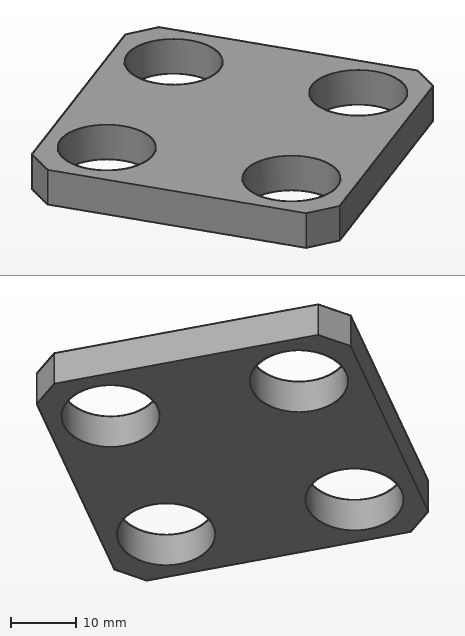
import cadquery as cq

side = 50.0
thickness = 6.0
corner_chamfer = 4.0
hole_diameter = 15.0
hole_spacing = 30.0

plate = cq.Workplane("XY").box(side, side, thickness)
plate = plate.edges("|Z").chamfer(corner_chamfer)

result = (
    plate.faces(">Z")
    .workplane()
    .rarray(hole_spacing, hole_spacing, 2, 2)
    .hole(hole_diameter)
)